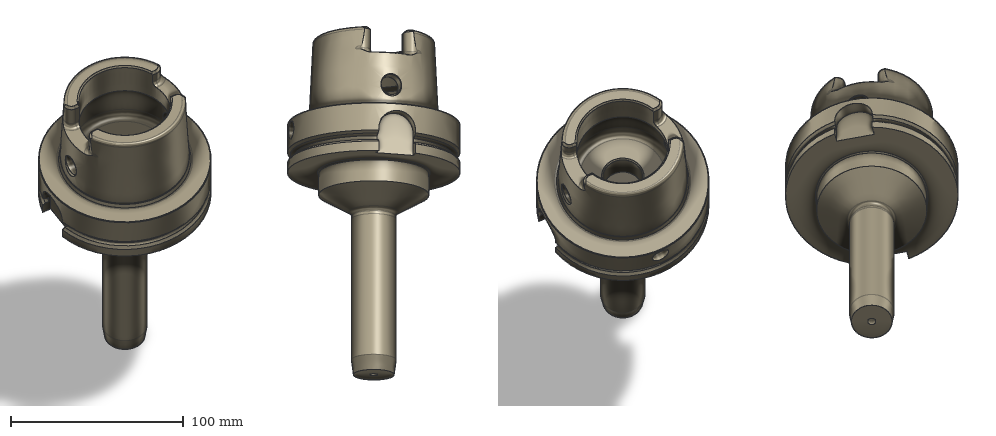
import cadquery as cq
import math


top_z = 50.0
taper_face_diameter = 75.4
taper_slope = 0.05
taper_start_z = 2.8
rim_round = 2.0

relief_depth = 0.4
relief_floor_z = 1.4
relief_outer_radius = 39.4
relief_dip_radius = 38.4
relief_dip = 0.2

flange_radius = 50.0
flange_edge_chamfer = 0.4
flange_bottom_z = -28.8
groove_radius = 46.0
groove_lip_radius = 48.4
groove_top_z = -16.5
groove_bottom_z = -23.2
groove_lip_height = 1.4
groove_wall_height = 1.0

collar_diameter = 63.8
collar_radius = collar_diameter / 2
collar_chamfer = 0.8
neck_cone_angle = 30.0
neck_radius = 12.8
neck_fillet = 3.0
stem_radius = 13.0
stem_top_z = -56.8
neck_relief_height = 1.8
tip_start_z = -141.1
tip_radius = 11.8
bottom_z = -150.0

bore_diameter = 53.4
bore_radius = bore_diameter / 2
bore_chamfer = 0.9
bore_lip_z = 29.4
undercut_radius = 30.0
undercut_angle = 60.0
bore_floor_z = 5.0
bore_floor_fillet = 5.0

recess_radius = 11.5
recess_chamfer = 0.8
recess_depth = 16.0
passage_diameter = 4.5
passage_radius = passage_diameter / 2

slot_half_width = 10.0
slot_corner_radius = 4.8
slot_mouth_angle = 30.0
slot_mouth_distance = 35.8
slot_inner_y = 16.0
slot_mouth_half_width = 24.0
slot_floor_fillet = 2.8
slot_top_chamfer = 1.4
front_slot_floor_z = 34.0
back_slot_floor_z = 40.0

rim_slot_width = 22.2
rim_slot_half_width = rim_slot_width / 2
rim_slot_top_z = -4.4
rim_slot_floor_y = 43.4

cross_hole_radius = 6.0
cross_hole_z = 14.8
countersink_start_y = 36.2

rim_hole_radius = 5.2
rim_hole_z = -7.0
rim_hole_depth = 4.5

cut_margin = 2.0
diagonal = math.sqrt(0.5)
chamfer_flare = -45


def taper_radius(z):
    """Outer radius of the taper shank at height z."""
    return taper_face_diameter / 2 - taper_slope * z


def make_body():
    """Solid of revolution for everything outside, tip to rim."""
    angle = math.radians(neck_cone_angle)
    fillet_end_z = stem_top_z + neck_relief_height
    turn = math.pi / 2 - angle
    fillet_top_r = neck_radius + neck_fillet * (1 - math.cos(turn))
    fillet_top_z = fillet_end_z + neck_fillet * math.sin(turn)
    fillet_mid_r = neck_radius + neck_fillet * (1 - math.cos(turn / 2))
    fillet_mid_z = fillet_end_z + neck_fillet * math.sin(turn / 2)
    collar_bottom_z = fillet_top_z + (collar_radius - fillet_top_r) * math.tan(angle)
    rim_center_r = taper_radius(top_z - rim_round) - rim_round
    rim_mid_r = rim_center_r + rim_round * diagonal
    rim_mid_z = top_z - rim_round * (1 - diagonal)
    relief_radius = taper_radius(taper_start_z) - relief_depth
    profile = (
        cq.Workplane("XZ")
        .moveTo(0, bottom_z)
        .lineTo(tip_radius, bottom_z)
        .lineTo(stem_radius, tip_start_z)
        .lineTo(stem_radius, stem_top_z)
        .lineTo(neck_radius, fillet_end_z)
        .threePointArc((fillet_mid_r, fillet_mid_z), (fillet_top_r, fillet_top_z))
        .lineTo(collar_radius, collar_bottom_z)
        .lineTo(collar_radius, flange_bottom_z - collar_chamfer)
        .lineTo(collar_radius + collar_chamfer, flange_bottom_z)
        .lineTo(flange_radius, flange_bottom_z)
        .lineTo(flange_radius, groove_bottom_z)
        .lineTo(groove_lip_radius, groove_bottom_z + groove_lip_height)
        .lineTo(groove_radius, groove_bottom_z + groove_lip_height)
        .lineTo(groove_radius, groove_top_z - groove_lip_height - groove_wall_height)
        .lineTo(groove_lip_radius, groove_top_z - groove_lip_height)
        .lineTo(flange_radius, groove_top_z)
        .lineTo(flange_radius, -flange_edge_chamfer)
        .lineTo(flange_radius - flange_edge_chamfer, 0)
        .lineTo(relief_outer_radius, 0)
        .lineTo(relief_dip_radius, -relief_dip)
        .lineTo(relief_radius, relief_floor_z)
        .lineTo(taper_radius(taper_start_z), taper_start_z)
        .lineTo(taper_radius(top_z - rim_round), top_z - rim_round)
        .threePointArc((rim_mid_r, rim_mid_z), (rim_center_r, top_z))
        .lineTo(0, top_z)
        .close()
    )
    return profile.revolve(360, (0, 0, 0), (0, 1, 0))


def make_bore():
    """Undercut clamping bore, coolant recess and through passage."""
    undercut_height = (undercut_radius - bore_radius) / math.tan(math.radians(undercut_angle))
    floor_arc_r = undercut_radius - bore_floor_fillet * (1 - diagonal)
    floor_arc_z = bore_floor_z + bore_floor_fillet * (1 - diagonal)
    recess_floor_z = bore_floor_z - recess_depth
    profile = (
        cq.Workplane("XZ")
        .moveTo(0, top_z)
        .lineTo(bore_radius + bore_chamfer, top_z)
        .lineTo(bore_radius, top_z - bore_chamfer)
        .lineTo(bore_radius, bore_lip_z)
        .lineTo(undercut_radius, bore_lip_z - undercut_height)
        .lineTo(undercut_radius, bore_floor_z + bore_floor_fillet)
        .threePointArc((floor_arc_r, floor_arc_z), (undercut_radius - bore_floor_fillet, bore_floor_z))
        .lineTo(recess_radius + recess_chamfer, bore_floor_z)
        .lineTo(recess_radius, bore_floor_z - recess_chamfer)
        .lineTo(recess_radius, recess_floor_z)
        .lineTo(passage_radius, recess_floor_z)
        .lineTo(passage_radius, bottom_z)
        .lineTo(0, bottom_z)
        .close()
    )
    return profile.revolve(360, (0, 0, 0), (0, 1, 0))


def slot_outline(z):
    """Drive slot on the +Y side: straight walls, rounded fin corners and a flared mouth."""
    turn = math.radians(slot_mouth_angle)
    arc_x = slot_half_width + slot_corner_radius
    arc_y = (slot_mouth_distance - slot_corner_radius - arc_x * math.sin(turn)) / math.cos(turn)
    arc_mid_x = arc_x - slot_corner_radius * diagonal
    arc_mid_y = arc_y + slot_corner_radius * diagonal
    arc_end_x = arc_x + slot_corner_radius * math.sin(turn)
    arc_end_y = arc_y + slot_corner_radius * math.cos(turn)
    mouth_y = (slot_mouth_distance - slot_mouth_half_width * math.sin(turn)) / math.cos(turn)
    return (
        cq.Workplane("XY")
        .workplane(offset=z)
        .moveTo(-slot_half_width, slot_inner_y)
        .lineTo(slot_half_width, slot_inner_y)
        .lineTo(slot_half_width, arc_y)
        .threePointArc((arc_mid_x, arc_mid_y), (arc_end_x, arc_end_y))
        .lineTo(slot_mouth_half_width, mouth_y)
        .lineTo(slot_mouth_half_width, flange_radius)
        .lineTo(-slot_mouth_half_width, flange_radius)
        .lineTo(-slot_mouth_half_width, mouth_y)
        .lineTo(-arc_end_x, arc_end_y)
        .threePointArc((-arc_mid_x, arc_mid_y), (-slot_half_width, arc_y))
        .close()
    )


def make_drive_slot(floor_z):
    """Drive slot cutter on the +Y side, with floor fillets and chamfered upper edges."""
    slot = slot_outline(floor_z).extrude(top_z + cut_margin - floor_z)
    slot = slot.faces("<Z").edges().fillet(slot_floor_fillet)
    chamfer = slot_outline(top_z - slot_top_chamfer).extrude(slot_top_chamfer, taper=chamfer_flare)
    return slot.union(chamfer)


def make_rim_slot():
    """Round-topped slot cutter on the -Y side of the flange, open at the bottom."""
    arc_z = rim_slot_top_z - rim_slot_half_width
    return (
        cq.Workplane("XZ", origin=(0, -rim_slot_floor_y, 0))
        .moveTo(-rim_slot_half_width, flange_bottom_z)
        .lineTo(rim_slot_half_width, flange_bottom_z)
        .lineTo(rim_slot_half_width, arc_z)
        .threePointArc((0, rim_slot_top_z), (-rim_slot_half_width, arc_z))
        .close()
        .extrude(flange_radius)
    )


def make_cross_hole():
    """Countersunk hole cutter through the -Y wall of the taper."""
    countersink_end_y = taper_radius(0) + cut_margin
    end_radius = cross_hole_radius + countersink_end_y - countersink_start_y
    return (
        cq.Workplane("XY")
        .moveTo(0, 0)
        .lineTo(cross_hole_radius, 0)
        .lineTo(cross_hole_radius, -countersink_start_y)
        .lineTo(end_radius, -countersink_end_y)
        .lineTo(0, -countersink_end_y)
        .close()
        .revolve(360, (0, 0, 0), (0, 1, 0))
        .translate((0, 0, cross_hole_z))
    )


def make_rim_hole():
    """Blind hole cutter entering the flange rim from -X."""
    return (
        cq.Workplane("YZ", origin=(-flange_radius - cut_margin, 0, rim_hole_z))
        .circle(rim_hole_radius)
        .extrude(rim_hole_depth + cut_margin)
    )


def opposite(cutter):
    """The same cutter on the other side of the Z axis."""
    return cutter.rotate((0, 0, 0), (0, 0, 1), 180)


result = make_body().cut(make_bore())
result = result.cut(make_drive_slot(back_slot_floor_z))
result = result.cut(opposite(make_drive_slot(front_slot_floor_z)))
for side_cutter in (make_rim_slot(), make_cross_hole()):
    result = result.cut(side_cutter).cut(opposite(side_cutter))
result = result.cut(make_rim_hole())